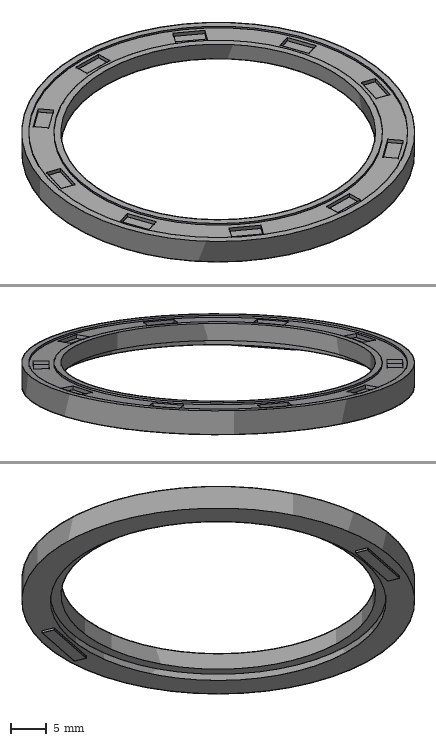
import cadquery as cq

outer_diameter = 55.9
inner_diameter = 44.7
ring_height = 3.5

lip_width = 1.0
channel_depth = 0.3

pocket_count = 10
pocket_length = 4.6
pocket_width = 2.25
pocket_depth = 0.55

counterbore_width = 1.5
counterbore_depth = 1.0

pad_start_x = -4.0
pad_end_x = 5.65
pad_offset_y = 25.3
pad_width = 1.9
pad_height = 0.35

outer_radius = outer_diameter / 2
inner_radius = inner_diameter / 2
middle_radius = (outer_radius + inner_radius) / 2
channel_floor_z = ring_height - channel_depth


def annulus(outside_radius, inside_radius, bottom_z, height):
    """Flat ring around the Z axis."""
    return (
        cq.Workplane("XY", origin=(0, 0, bottom_z))
        .circle(outside_radius)
        .circle(inside_radius)
        .extrude(height)
    )


def pockets():
    """Blocks spaced evenly round the ring, each with its long side tangential."""
    return (
        cq.Workplane("XY", origin=(0, 0, channel_floor_z - pocket_depth))
        .polarArray(middle_radius, 90, 360, pocket_count)
        .rect(pocket_width, pocket_length)
        .extrude(pocket_depth + channel_depth)
    )


def pads():
    """Two plain pads hanging below the underside."""
    pad_length = pad_end_x - pad_start_x
    pad_center_x = (pad_start_x + pad_end_x) / 2
    return (
        cq.Workplane("XY")
        .pushPoints([(pad_center_x, side * pad_offset_y) for side in (-1, 1)])
        .rect(pad_length, pad_width)
        .extrude(-pad_height)
    )


ring = annulus(outer_radius, inner_radius, 0, ring_height)
channel = annulus(outer_radius - lip_width, inner_radius + lip_width, channel_floor_z, channel_depth)
counterbore = annulus(inner_radius + counterbore_width, inner_radius, 0, counterbore_depth)

result = ring.cut(channel).cut(pockets()).cut(counterbore).union(pads())